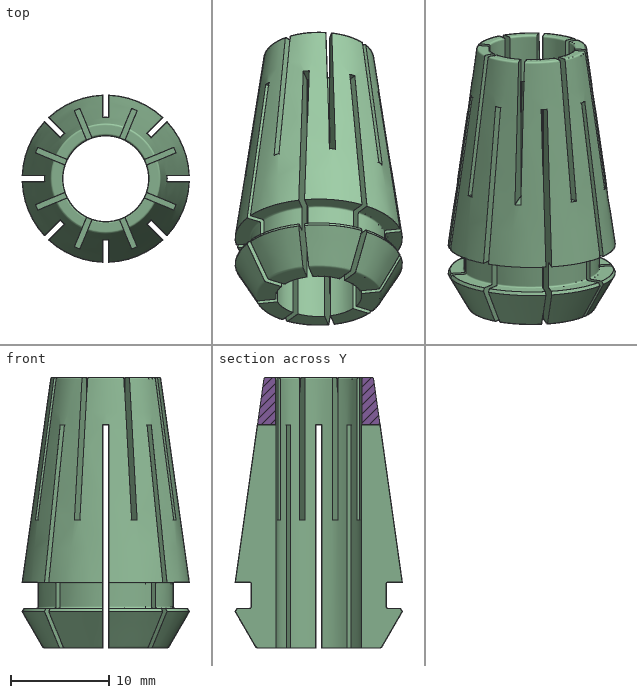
import cadquery as cq
import math

height = 27.5
bore_diameter = 8.72
top_edge_fillet = 0.2

cone_base_radius = 8.5
cone_base_z = 6.68
cone_half_angle = 8.0

neck_radius = 6.88
neck_fillet = 0.16

head_bottom_radius = 6.35
head_top_z = 4.05
head_half_angle = 30.0
head_bottom_fillet = 0.3
shoulder_chamfer_height = 0.33

slots_per_end = 8
slot_width = 0.6
lower_slot_top_z = 22.7
upper_slot_bottom_z = 13.0

cone_slope = math.tan(math.radians(cone_half_angle))
head_slope = math.tan(math.radians(head_half_angle))
bore_radius = bore_diameter / 2
cone_top_radius = cone_base_radius - (height - cone_base_z) * cone_slope
head_rim_z = head_top_z - shoulder_chamfer_height
head_rim_radius = head_bottom_radius + head_rim_z * head_slope
head_top_radius = head_rim_radius - shoulder_chamfer_height * head_slope


def fillet_ring(body, radius, z, fillet_radius):
    """Round the one circular edge of the given radius at height z."""
    margin = fillet_radius / 2
    inner, outer = radius - margin, radius + margin
    ring_edges = [
        edge
        for edge in body.edges("%CIRCLE").vals()
        if inner < edge.radius() < outer and abs(edge.Center().z - z) < margin
    ]
    return body.newObject(ring_edges).fillet(fillet_radius)


def make_body():
    """Revolved collet body with its neck groove, bore and rounded edges."""
    outline = (
        cq.Workplane("XZ")
        .moveTo(bore_radius, 0)
        .lineTo(head_bottom_radius, 0)
        .lineTo(head_rim_radius, head_rim_z)
        .lineTo(head_top_radius, head_top_z)
        .lineTo(neck_radius, head_top_z)
        .lineTo(neck_radius, cone_base_z)
        .lineTo(cone_base_radius, cone_base_z)
        .lineTo(cone_top_radius, height)
        .lineTo(bore_radius, height)
        .close()
    )
    body = outline.revolve(360, (0, 0), (0, 1))
    rounded_edges = [
        (head_bottom_radius, 0, head_bottom_fillet),
        (neck_radius, head_top_z, neck_fillet),
        (neck_radius, cone_base_z, neck_fillet),
        (cone_top_radius, height, top_edge_fillet),
        (bore_radius, height, top_edge_fillet),
    ]
    for radius, z, fillet_radius in rounded_edges:
        body = fillet_ring(body, radius, z, fillet_radius)
    return body


def make_slots(bottom_z, top_z, first_angle):
    """Ring of slots, each cutter spanning the full diameter to form two."""
    cutter_length = 2 * cone_base_radius + slot_width
    cutter = (
        cq.Workplane("XY", origin=(0, 0, bottom_z))
        .rect(cutter_length, slot_width)
        .extrude(top_z - bottom_z)
    )
    slot_pitch = 360 / slots_per_end
    slots = cutter.rotate((0, 0, 0), (0, 0, 1), first_angle)
    for index in range(1, slots_per_end // 2):
        angle = first_angle + index * slot_pitch
        slots = slots.union(cutter.rotate((0, 0, 0), (0, 0, 1), angle))
    return slots


lower_slots = make_slots(0, lower_slot_top_z, 0)
upper_slots = make_slots(upper_slot_bottom_z, height, 180 / slots_per_end)

result = make_body().cut(lower_slots).cut(upper_slots)